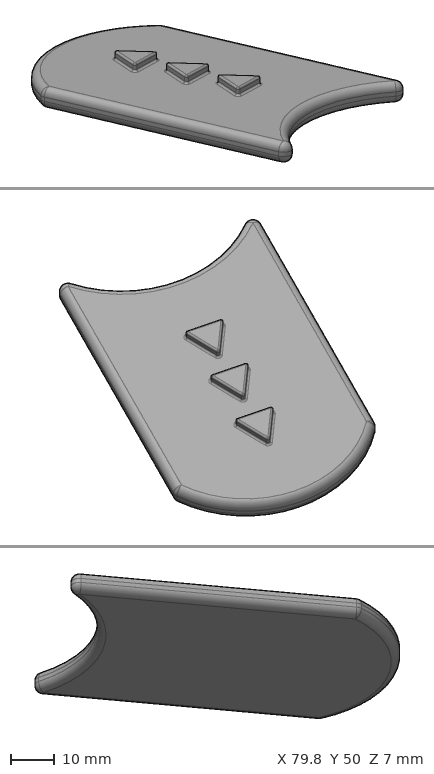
import cadquery as cq
import math

length = 79.75
width = 50.0
edge_radius = 2.0
plate_thickness = 5.0
end_radius = 30.0

arrow_count = 3
arrow_pitch = 14.0
arrow_height = 2.0
arrow_round = 0.5
first_tip_x = 17.5
arrow_length = 7.5
arrow_half_width = 4.1


def arc_depth(radius, half_chord):
    """Height of an arc above its chord."""
    return radius - math.sqrt(radius**2 - half_chord**2)


def make_plate():
    """Flat top outline, grown by the edge radius and rounded all around."""
    flat_half_width = width / 2 - edge_radius
    left_end = edge_radius
    left_corner = left_end + arc_depth(end_radius - edge_radius, flat_half_width)
    right_corner = length - edge_radius
    hollow_bottom = right_corner - arc_depth(end_radius + edge_radius, flat_half_width)
    return (
        cq.Workplane("XY")
        .moveTo(left_corner, -flat_half_width)
        .lineTo(right_corner, -flat_half_width)
        .threePointArc((hollow_bottom, 0), (right_corner, flat_half_width))
        .lineTo(left_corner, flat_half_width)
        .threePointArc((left_end, 0), (left_corner, -flat_half_width))
        .close()
        .offset2D(edge_radius, "arc")
        .extrude(plate_thickness)
        .faces("<Z or >Z")
        .edges()
        .fillet(edge_radius)
    )


def make_arrow(tip_x):
    """Triangular prism with rounded corners and a rounded top rim."""
    back_x = tip_x + arrow_length
    return (
        cq.Workplane("XY", origin=(0, 0, plate_thickness))
        .polyline([(tip_x, 0), (back_x, -arrow_half_width), (back_x, arrow_half_width)])
        .close()
        .offset2D(arrow_round, "intersection")
        .extrude(arrow_height)
        .edges("|Z or >Z")
        .fillet(arrow_round)
    )


def blend_arrow_feet(body):
    """Concave fillet where the arrows meet the plate's top face."""
    margin = 2 * arrow_round
    arrows_end = first_tip_x + (arrow_count - 1) * arrow_pitch + arrow_length
    foot_edges = cq.selectors.BoxSelector(
        (first_tip_x - margin, -arrow_half_width - margin, plate_thickness - arrow_round / 2),
        (arrows_end + margin, arrow_half_width + margin, plate_thickness + arrow_round / 2),
    )
    return body.edges(foot_edges).fillet(arrow_round)


result = make_plate()
for index in range(arrow_count):
    result = result.union(make_arrow(first_tip_x + index * arrow_pitch))
result = blend_arrow_feet(result)